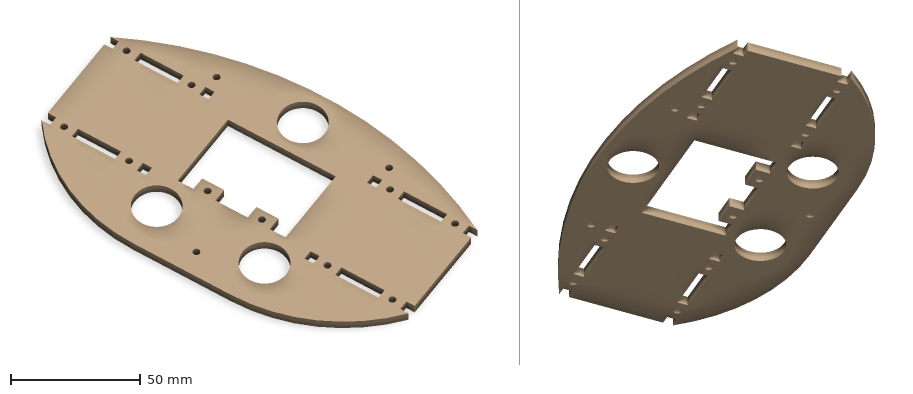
import cadquery as cq
import math

length = 170.0
width = 100.0
thickness = 4.0
half_length = length / 2
back_y = width / 2
front_y = -width / 2
front_flat_length = 45.0

slot_width = 4.2
slot_length = 20.0
slot_row_ys = (26.5, -17.5)
slot_center_x = 61.0
slot_gap = 10.0
screw_offset = (slot_length + slot_gap) / 2
screw_diameter = 3.0

window_length = 50.0
window_back_y = 20.2
window_front_y = -15.1
tab_length = 10.2
tab_height = 6.1
tab_x = 12.5
tab_screw_y = -13.0

opening_diameter = 20.0
back_hole_y = 35.0
front_opening_x = window_length / 2
front_opening_y = -30.0
back_screw_x = 40.0
front_screw_y = -40.0
opening_centers = [
    (0, back_hole_y),
    (-front_opening_x, front_opening_y),
    (front_opening_x, front_opening_y),
]
single_screw_centers = [
    (-back_screw_x, back_hole_y),
    (back_screw_x, back_hole_y),
    (0, front_screw_y),
]


def make_plate():
    """Plate with a bowed back edge and a front edge rounded into a central flat."""
    back_corner_y = slot_row_ys[0] + slot_width / 2
    front_corner_y = slot_row_ys[1] - slot_width / 2
    flat_end_x = front_flat_length / 2

    run = half_length - flat_end_x
    rise = front_corner_y - front_y
    radius = (run**2 + rise**2) / (2 * rise)
    half_sweep = math.atan2(rise, run)
    arc_mid_x = flat_end_x + radius * math.sin(half_sweep)
    arc_mid_y = front_y + radius * (1 - math.cos(half_sweep))

    return (
        cq.Workplane("XY")
        .moveTo(-half_length, back_corner_y)
        .threePointArc((0, back_y), (half_length, back_corner_y))
        .lineTo(half_length, front_corner_y)
        .threePointArc((arc_mid_x, arc_mid_y), (flat_end_x, front_y))
        .lineTo(-flat_end_x, front_y)
        .threePointArc((-arc_mid_x, arc_mid_y), (-half_length, front_corner_y))
        .close()
        .extrude(thickness)
    )


def box_between(x_min, x_max, y_min, y_max):
    """Full-thickness block spanning the given X and Y limits."""
    block = cq.Workplane("XY").box(x_max - x_min, y_max - y_min, thickness, centered=False)
    return block.translate((x_min, y_min, 0))


def round_cutters(centers, diameter):
    return cq.Workplane("XY").pushPoints(centers).circle(diameter / 2).extrude(thickness)


def cut_slot_group(plate, side, row_y):
    """Slot, its two screws, a square inboard of them and a notch in the side edge."""
    inner_x = slot_center_x - slot_length / 2 - slot_gap
    outer_x = slot_center_x + slot_length / 2 + slot_gap
    spans = [
        (inner_x - slot_width, inner_x),
        (slot_center_x - slot_length / 2, slot_center_x + slot_length / 2),
        (outer_x, half_length),
    ]
    for near_x, far_x in spans:
        x_min, x_max = sorted((side * near_x, side * far_x))
        plate = plate.cut(box_between(x_min, x_max, row_y - slot_width / 2, row_y + slot_width / 2))
    screws = [(side * (slot_center_x + offset), row_y) for offset in (-screw_offset, screw_offset)]
    return plate.cut(round_cutters(screws, screw_diameter))


def make_window():
    """Window cutter, with the two tabs left standing."""
    window = box_between(-window_length / 2, window_length / 2, window_front_y, window_back_y)
    tab_back_y = window_front_y + tab_height
    for x in (-tab_x, tab_x):
        tab = box_between(x - tab_length / 2, x + tab_length / 2, window_front_y, tab_back_y)
        window = window.cut(tab)
    return window


result = make_plate().cut(make_window())
for side in (-1, 1):
    for row_y in slot_row_ys:
        result = cut_slot_group(result, side, row_y)

tab_screw_centers = [(-tab_x, tab_screw_y), (tab_x, tab_screw_y)]
result = result.cut(round_cutters(single_screw_centers + tab_screw_centers, screw_diameter))
result = result.cut(round_cutters(opening_centers, opening_diameter))